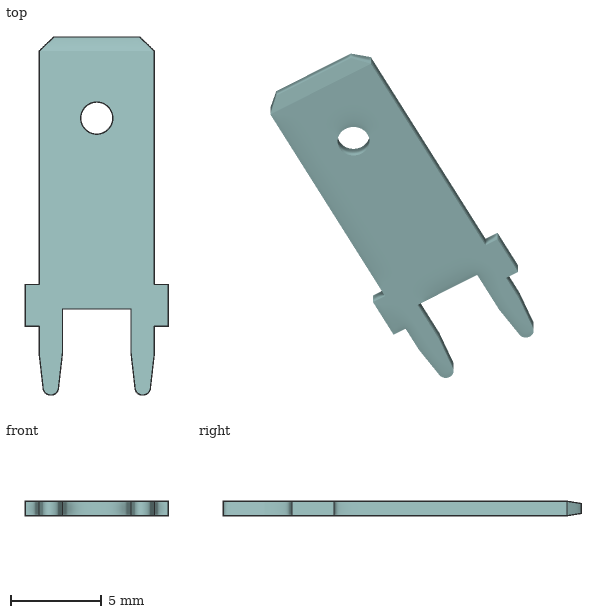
import cadquery as cq

length = 19.84
thickness = 0.81
blade_width = 6.39

nose_length = 0.8
nose_tip_width = 4.75
nose_tip_thickness = 0.55

hole_diameter = 1.77
hole_y = 15.34

shoulder_width = 7.92
shoulder_bottom = 3.8
shoulder_top = 6.13

slot_width = 3.79
slot_top = 4.76
leg_taper_start = 2.3
leg_tip_width = 0.87
leg_tip_height = 0.44

leg_width = (blade_width - slot_width) / 2
leg_center = (blade_width + slot_width) / 4
nose_start = length - nose_length


def make_plate(width, bottom, top):
    """Flat plate centred on X and Z, spanning bottom to top along Y."""
    return cq.Workplane("XY").box(width, top - bottom, thickness).translate((0, (bottom + top) / 2, 0))


def make_leg(center_x):
    """Straight leg that tapers to a rounded tip at Y = 0."""
    half_width = leg_width / 2
    half_tip = leg_tip_width / 2
    return (
        cq.Workplane("XY", origin=(center_x, 0, -thickness / 2))
        .moveTo(-half_width, slot_top)
        .lineTo(-half_width, leg_taper_start)
        .lineTo(-half_tip, leg_tip_height)
        .threePointArc((0, 0), (half_tip, leg_tip_height))
        .lineTo(half_width, leg_taper_start)
        .lineTo(half_width, slot_top)
        .close()
        .extrude(thickness)
    )


def make_nose():
    """Insertion end: corners cut in plan, and both faces sloped toward the tip."""
    plan = (
        cq.Workplane("XY", origin=(0, 0, -thickness / 2))
        .moveTo(-blade_width / 2, nose_start)
        .lineTo(-nose_tip_width / 2, length)
        .lineTo(nose_tip_width / 2, length)
        .lineTo(blade_width / 2, nose_start)
        .close()
        .extrude(thickness)
    )
    wedge = (
        cq.Workplane("YZ", origin=(-blade_width / 2, 0, 0))
        .moveTo(nose_start, -thickness / 2)
        .lineTo(length, -nose_tip_thickness / 2)
        .lineTo(length, nose_tip_thickness / 2)
        .lineTo(nose_start, thickness / 2)
        .close()
        .extrude(blade_width)
    )
    return plan.intersect(wedge)


blade = make_plate(blade_width, slot_top, nose_start)
shoulders = make_plate(shoulder_width, shoulder_bottom, shoulder_top)
slot = make_plate(slot_width, 0, slot_top)
hole = (
    cq.Workplane("XY", origin=(0, hole_y, -thickness / 2))
    .circle(hole_diameter / 2)
    .extrude(thickness)
)

result = blade.union(shoulders).cut(slot).union(make_nose()).cut(hole)
for side in (-1, 1):
    result = result.union(make_leg(side * leg_center))